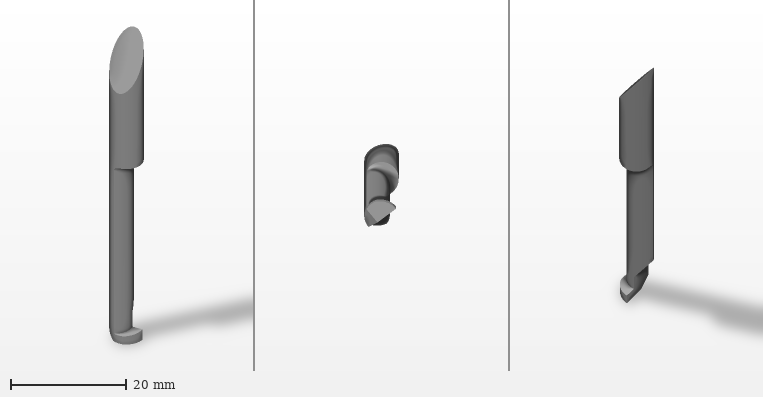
import cadquery as cq
import math

length = 62.45
shank_radius = 3.0
end_cut_angle = 60.0
shoulder_z = 36.6
shoulder_fillet = 0.95
neck_radius = 2.95
neck_offset = 1.9
rake_y = 0.25
rake_top_z = 5.3
corner_z = 2.05
tooth_top_z = 2.1
flank_radius = 3.6
flank_center = (-0.6, 0.45)
edge_clearance = 2.0
flank_clearance = 2.0
top_clearance = 5.0

end_slope = math.tan(math.radians(end_cut_angle))
edge_slope = math.tan(math.radians(edge_clearance))
flank_slope = math.tan(math.radians(flank_clearance))
top_slope = math.tan(math.radians(top_clearance))
reach = 2 * shank_radius


def round_shank():
    return cq.Workplane("XY").circle(shank_radius).extrude(length)


def side_prism(points):
    """Prism with a (y, z) outline, running across the bar in X."""
    return cq.Workplane("YZ").polyline(points).close().extrude(reach, both=True)


def neck_relief():
    """Space around the neck's front circle, rounded where it meets the shoulder."""
    core = cq.Workplane("XY").center(-neck_offset, 0).circle(neck_radius).extrude(shoulder_z)
    blend = (
        cq.Workplane("XZ")
        .moveTo(neck_radius, shoulder_z)
        .lineTo(neck_radius, shoulder_z - shoulder_fillet)
        .radiusArc((neck_radius + shoulder_fillet, shoulder_z), shoulder_fillet)
        .close()
        .revolve(360, (0, 0, 0), (0, 1, 0))
        .translate((-neck_offset, 0, 0))
    )
    block = cq.Workplane("XY").circle(reach).extrude(shoulder_z)
    return block.cut(core).cut(blend)


def top_cut():
    """Slanted cut across the upper end, highest at +Y."""
    low_z = length - end_slope * 2 * shank_radius
    return side_prism([
        (-shank_radius, low_z),
        (shank_radius, length),
        (-shank_radius, length),
    ])


def rake_cut():
    """Flat cutting face on the +Y side with a slanted run-out."""
    return side_prism([
        (rake_y, -reach),
        (rake_y, rake_top_z),
        (reach, rake_top_z + end_slope * (reach - rake_y)),
        (reach, -reach),
    ])


def corner_cut():
    """45 degree cut at the lower -X corner."""
    leg = corner_z + reach
    return (
        cq.Workplane("XZ")
        .moveTo(-shank_radius, corner_z)
        .lineTo(-shank_radius + leg, -reach)
        .lineTo(-reach, -reach)
        .lineTo(-reach, corner_z + reach - shank_radius)
        .close()
        .extrude(reach, both=True)
    )


def clearance_cut():
    """Everything below the bottom face, which rises from the tip toward -X and -Y."""
    tip = cq.Vector(shank_radius, 0, 0)
    face = cq.Plane(origin=tip, xDir=(1, 0, -edge_slope), normal=(edge_slope, flank_slope, 1))
    return cq.Workplane(face).rect(4 * reach, 4 * reach).extrude(-reach)


def tooth_band():
    """Slab holding the tooth, with its top falling away behind the cutting face."""
    return side_prism([
        (rake_y, -reach),
        (rake_y, tooth_top_z),
        (-reach, tooth_top_z - top_slope * (rake_y + reach)),
        (-reach, -reach),
    ])


def tooth_flank():
    """Round column whose side relieves the tooth next to its tip."""
    return cq.Workplane("XY").center(*flank_center).circle(flank_radius).extrude(shoulder_z)


bar = (
    round_shank()
    .cut(neck_relief())
    .cut(top_cut())
    .cut(rake_cut())
    .cut(corner_cut())
    .cut(clearance_cut())
)

tooth = (
    round_shank()
    .intersect(tooth_band())
    .intersect(tooth_flank())
    .intersect(neck_relief())
    .cut(clearance_cut())
)

result = cq.Compound.makeCompound([bar.val(), tooth.val()])